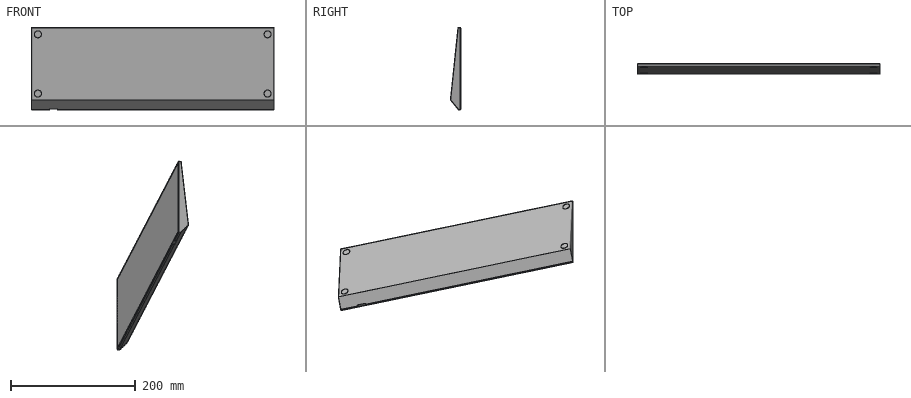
import cadquery as cq

width = 390.0
thickness = 17.19
height = 132.0

top_thickness = 5.0
bottom_thickness = 4.2
ridge_height = 16.0
back_edge_chamfer = 1.4
edge_fillet = 0.6

foot_diameter = 11.3
foot_recess_depth = 0.2
foot_spacing_x = 369.3
lower_foot_height = 26.0
upper_foot_height = 121.3

notch_width = 12.5
notch_depth = 1.2
notch_center_from_left = 35.3

back_y = thickness / 2
ridge_y = -thickness / 2
bottom_z = -height / 2
top_z = height / 2
ridge_z = bottom_z + ridge_height
top_front_y = back_y - top_thickness
bottom_front_y = back_y - bottom_thickness


def make_wedge():
    """Five-sided wedge along X: chamfered back, rounded corners and rounded slope edges."""
    profile = [
        (back_y, bottom_z),
        (bottom_front_y, bottom_z),
        (ridge_y, ridge_z),
        (top_front_y, top_z),
        (back_y, top_z),
    ]
    wedge = cq.Workplane("YZ").polyline(profile).close().extrude(width / 2, both=True)
    wedge = wedge.faces(">Y").edges().chamfer(back_edge_chamfer)
    slope_center = (0, (ridge_y + top_front_y) / 2, (ridge_z + top_z) / 2)
    sloping_face = wedge.faces(cq.selectors.NearestToPointSelector(slope_center))
    side_and_top_edges = sloping_face.edges("not <Z")
    corner_edges = wedge.edges("|Y")
    return corner_edges.add(side_and_top_edges).fillet(edge_fillet)


def make_foot_recess(x, z):
    """Disc that cuts a recess square to the sloping front face."""
    slope = (top_front_y - ridge_y) / (top_z - ridge_z)
    face_y = ridge_y + slope * (z - ridge_z)
    face_plane = cq.Plane(origin=(x, face_y, z), xDir=(1, 0, 0), normal=(0, -1, slope))
    return cq.Workplane(face_plane).circle(foot_diameter / 2).extrude(-foot_recess_depth)


def make_notch():
    """Block that cuts the bottom edge through the full thickness."""
    notch_x = -width / 2 + notch_center_from_left
    notch = cq.Workplane("XY").box(notch_width, thickness, notch_depth, centered=(True, True, False))
    return notch.translate((notch_x, 0, bottom_z))


result = make_wedge()
for foot_x in (-foot_spacing_x / 2, foot_spacing_x / 2):
    for foot_height in (lower_foot_height, upper_foot_height):
        result = result.cut(make_foot_recess(foot_x, bottom_z + foot_height))
result = result.cut(make_notch())